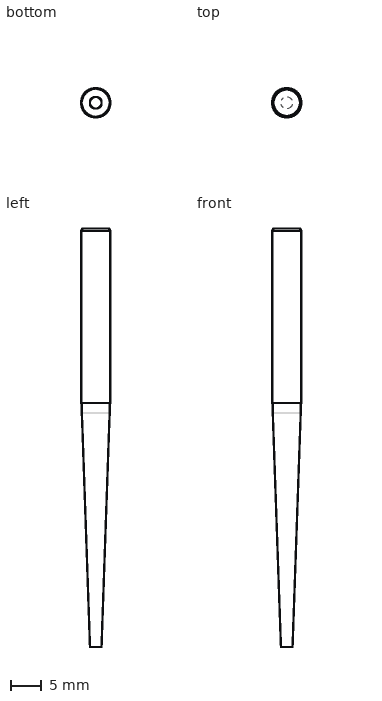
import cadquery as cq
import math

total_length = 68.3

collar_radius = 2.3
collar_length = 1.6
cone_length = 38.2
cone_half_angle = 2.0
tip_radius = collar_radius - cone_length * math.tan(math.radians(cone_half_angle))
needle_length = cone_length + collar_length

shank_radius = 2.39
chamfer_height = 0.4
chamfer_width = 0.23


def revolve_about_z(points):
    """Turn a closed (radius, height) outline a full turn about the Z axis."""
    return cq.Workplane("XZ").polyline(points).close().revolve(360, (0, 0, 0), (0, 1, 0))


def make_needle():
    """Cone and collar, with the tip face on Z = 0."""
    return revolve_about_z([
        (0, 0),
        (tip_radius, 0),
        (collar_radius, cone_length),
        (collar_radius, needle_length),
        (0, needle_length),
    ])


def make_shank():
    """Chamfered cylinder, resting on the top face of the needle."""
    return revolve_about_z([
        (0, needle_length),
        (shank_radius, needle_length),
        (shank_radius, total_length - chamfer_height),
        (shank_radius - chamfer_width, total_length),
        (0, total_length),
    ])


needle = make_needle()
shank = make_shank()
result = cq.Compound.makeCompound([needle.val(), shank.val()])